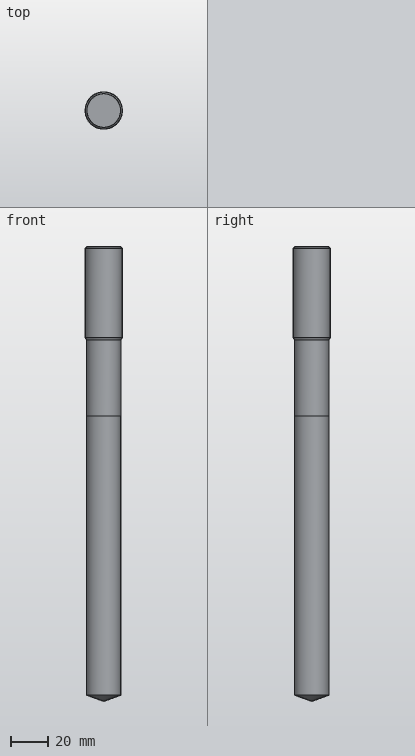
import cadquery as cq
import math

total_length = 244.0
head_diameter = 20.0
shank_diameter = 18.5

head_length = 50.0
edge_chamfer = 1.0
shoulder_height = 1.2

joint_depth = 90.8

point_angle = 140.0

head_radius = head_diameter / 2
shank_radius = shank_diameter / 2
joint_z = total_length - joint_depth
head_bottom_z = total_length - head_length
point_height = shank_radius / math.tan(math.radians(point_angle / 2))


def make_handle():
    """Chamfered head and the neck below it, turned about Z."""
    profile = (
        cq.Workplane("YZ")
        .moveTo(0, joint_z)
        .lineTo(-shank_radius, joint_z)
        .lineTo(-shank_radius, head_bottom_z)
        .lineTo(-head_radius, head_bottom_z + shoulder_height)
        .lineTo(-head_radius, total_length - edge_chamfer)
        .lineTo(-head_radius + edge_chamfer, total_length)
        .lineTo(0, total_length)
        .close()
    )
    return profile.revolve(360, (0, 0), (0, 1))


def make_rod():
    """Plain rod with a conical point, turned about Z."""
    profile = (
        cq.Workplane("XZ")
        .moveTo(0, 0)
        .lineTo(-shank_radius, point_height)
        .lineTo(-shank_radius, joint_z)
        .lineTo(0, joint_z)
        .close()
    )
    return profile.revolve(360, (0, 0), (0, 1))


handle = make_handle()
rod = make_rod()

result = cq.Compound.makeCompound([handle.val(), rod.val()])